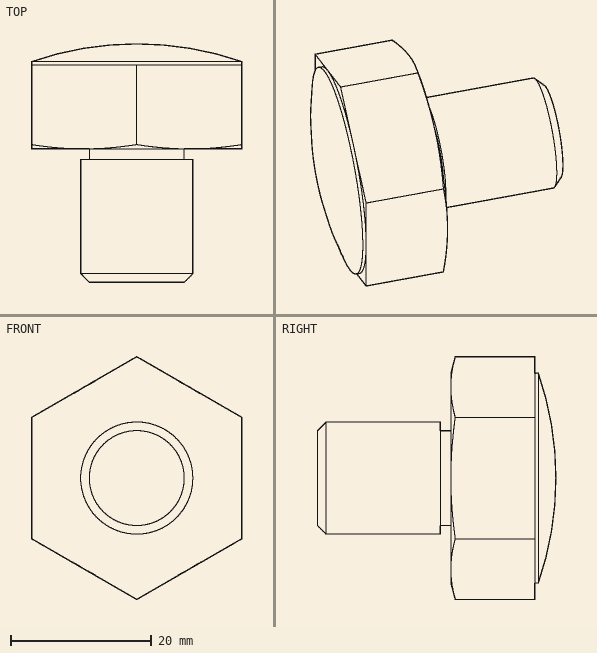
import cadquery as cq
import math

corner_width = 34.65
flat_width = corner_width * math.cos(math.radians(30))
hex_height = 12.0
corner_chamfer_angle = 15.0

collar_height = 0.5
dome_height = 2.53

shank_diameter = 16.0
neck_diameter = 13.55
neck_length = 1.5
shank_reach = 19.02
tip_chamfer = (shank_diameter - neck_diameter) / 2


def revolve_about_y(profile):
    """Close an XY half profile and spin it around the Y axis."""
    return profile.close().revolve(360, (0, 0, 0), (0, 1, 0))


def make_hex_head():
    """Hexagon with corners on Z, its bearing-side corners trimmed by a cone."""
    hexagon = (
        cq.Workplane("XZ")
        .transformed(rotate=(0, 0, 90))
        .polygon(6, corner_width)
        .extrude(-hex_height)
    )
    flat_radius = flat_width / 2
    cone_radius = flat_radius + hex_height / math.tan(math.radians(corner_chamfer_angle))
    cone = revolve_about_y(
        cq.Workplane("XY")
        .lineTo(flat_radius, 0)
        .lineTo(cone_radius, hex_height)
        .lineTo(0, hex_height)
    )
    return hexagon.intersect(cone)


def make_domed_cap():
    """Thin round collar topped by a spherical dome."""
    radius = flat_width / 2
    dome_base = hex_height + collar_height
    sphere_radius = (radius**2 + dome_height**2) / (2 * dome_height)
    sphere_center = dome_base + dome_height - sphere_radius
    arc_x = radius / 2
    arc_y = sphere_center + math.sqrt(sphere_radius**2 - arc_x**2)
    return revolve_about_y(
        cq.Workplane("XY")
        .moveTo(0, hex_height)
        .lineTo(radius, hex_height)
        .lineTo(radius, dome_base)
        .threePointArc((arc_x, arc_y), (0, dome_base + dome_height))
    )


def make_shank():
    """Undercut neck, then the full-diameter shank with a chamfered tip."""
    neck_radius = neck_diameter / 2
    shank_radius = shank_diameter / 2
    return revolve_about_y(
        cq.Workplane("XY")
        .lineTo(neck_radius, 0)
        .lineTo(neck_radius, -neck_length)
        .lineTo(shank_radius, -neck_length)
        .lineTo(shank_radius, -shank_reach + tip_chamfer)
        .lineTo(shank_radius - tip_chamfer, -shank_reach)
        .lineTo(0, -shank_reach)
    )


result = make_hex_head().union(make_domed_cap()).union(make_shank())